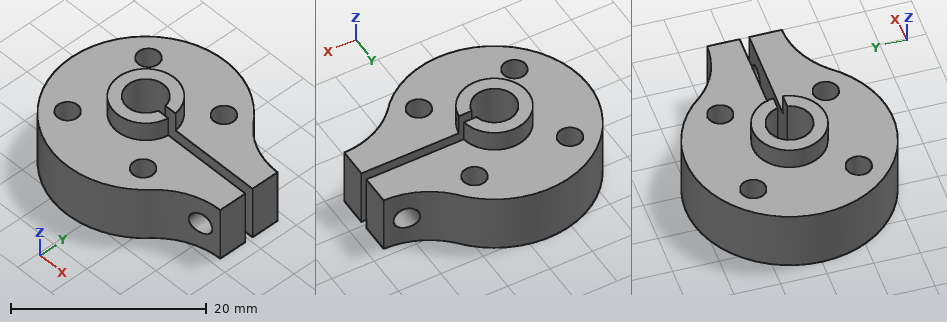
import cadquery as cq
import math

flange_radius = 11.1
flange_height = 7.05
total_height = 9.5
collar_diameter = 7.9
bore_diameter = 4.91
total_length = 26.55
arm_half_width = 4.0
flank_start_x = 8.69
slot_width = 1.0
hole_diameter = 2.7
bolt_spacing = 11.31
clamp_hole_x = 12.95

arm_end = total_length - flange_radius

flank_start_y = math.sqrt(flange_radius**2 - flank_start_x**2)
flank_length = arm_end - flank_start_x
flank_rise = flank_start_y - arm_half_width
flank_radius = (flank_length**2 + flank_rise**2) / (2 * flank_rise)
flank_center_y = arm_half_width + flank_radius

half_sweep = math.asin(flank_length / flank_radius) / 2
middle_x = arm_end - flank_radius * math.sin(half_sweep)
middle_y = flank_center_y - flank_radius * math.cos(half_sweep)


def make_body():
    flange = (
        cq.Workplane("XY")
        .moveTo(arm_end, -arm_half_width)
        .lineTo(arm_end, arm_half_width)
        .threePointArc((middle_x, middle_y), (flank_start_x, flank_start_y))
        .threePointArc((-flange_radius, 0), (flank_start_x, -flank_start_y))
        .threePointArc((middle_x, -middle_y), (arm_end, -arm_half_width))
        .close()
        .extrude(flange_height)
    )
    collar = cq.Workplane("XY").circle(collar_diameter / 2).extrude(total_height)
    return flange.union(collar)


def make_bore_and_slot():
    bore = cq.Workplane("XY").circle(bore_diameter / 2).extrude(total_height)
    slot = cq.Workplane("XY").box(arm_end, slot_width, total_height, centered=(False, True, False))
    return bore.union(slot)


def make_bolt_holes():
    return (
        cq.Workplane("XY")
        .rect(bolt_spacing, bolt_spacing, forConstruction=True)
        .vertices()
        .circle(hole_diameter / 2)
        .extrude(flange_height)
    )


def make_clamp_hole():
    return (
        cq.Workplane("XZ")
        .center(clamp_hole_x, flange_height / 2)
        .circle(hole_diameter / 2)
        .extrude(flange_radius, both=True)
    )


result = make_body().cut(make_bore_and_slot()).cut(make_bolt_holes()).cut(make_clamp_hole())